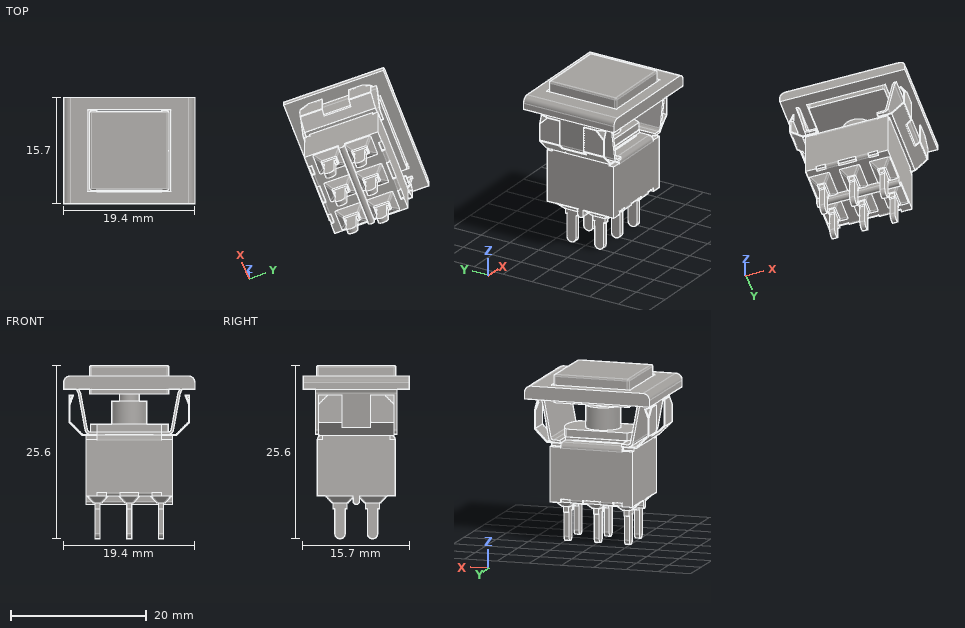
import cadquery as cq
import math


BEZEL_X, BEZEL_Y, BEZEL_T = 19.4, 15.7, 2.0
BEZEL_BOTTOM = 0.07
BEZEL_TOP = BEZEL_BOTTOM + BEZEL_T
BEZEL_ROUND = 1.0
OPENING_X, OPENING_Y = 12.2, 12.1

CAP_SIDE, CAP_TOP, CAP_BOTTOM = 11.7, 3.6, -0.62
CAP_ROUND = 0.25

PLUNGER_D = 2.95
BUSHING_D, BUSHING_TOP = 5.2, -1.66
DISC_D, DISC_TOP, DISC_FLATS = 11.5, -5.04, 6.5

BODY_X, BODY_Y = 12.8, 11.54
BODY_TOP, BODY_BOTTOM = -6.75, -15.65
FRAME_X, FRAME_TOP = 9.54, -6.65
FRAME_ROUND = 0.77
SHOULDER_DROP, SHOULDER_DEPTH = 0.54, 0.82
FOOT_RECESS_H, FOOT_RECESS_DEPTH = 0.52, 0.5
FOOT_TAB_INNER, FOOT_TAB_OUTER = 1.36, 3.33
FOOT_TAB_ROUND = 0.42

RIB_T, RIB_H = 0.96, 1.26

PIN_PITCH_X, PIN_PITCH_Y = 4.68, 4.8
PIN_T, PIN_W, PIN_SHOULDER_W = 0.77, 1.56, 2.1
PIN_SHOULDER_BOTTOM, PIN_BOTTOM = -17.54, -21.98
SEAL_X, SEAL_Y, SEAL_H, SEAL_CORNER = 3.15, 4.3, 1.0, 0.3
SEAL_TAPER = 43.0

SPRING_T, SPRING_Y = 0.17, 11.14
SPRING_TOP = BODY_TOP + SPRING_T
SPRING_BASE_X, SPRING_OUT_X = 6.94, 8.9
SPRING_KNEE_Z, SPRING_TIP_Z = -4.8, -0.77
SPRING_SLOT_Y, SPRING_SLOT_BOTTOM = 4.2, -5.52
SPRING_TONGUE_X, SPRING_TONGUE_FACE = 7.0, 3.6
FOLD_LEG, FOLD_IN = 1.35, 0.7

BRACKET_T, BRACKET_Y = 0.37, 12.06
BRACKET_NOTCH_FACE = 3.35
BRACKET_BEND_X = 6.1
BRACKET_BEND_R = 0.45
ARM_ANGLE = 10.5
FLARE_H, FLARE_OUT = 0.55, 0.27


def box(x0, x1, y0, y1, z0, z1):
    return cq.Workplane("XY").box(x1 - x0, y1 - y0, z1 - z0, centered=False).translate((x0, y0, z0))


def centered_box(size_x, size_y, z0, z1):
    return box(-size_x / 2, size_x / 2, -size_y / 2, size_y / 2, z0, z1)


def cylinder(diameter, z0, z1):
    return cq.Workplane("XY").workplane(offset=z0).circle(diameter / 2).extrude(z1 - z0)


def both_sides(shape, plane):
    return shape.union(shape.mirror(plane))


def make_bezel():
    plate = centered_box(BEZEL_X, BEZEL_Y, BEZEL_BOTTOM, BEZEL_TOP)
    plate = plate.edges("|Y and >Z").fillet(BEZEL_ROUND)
    return plate.cut(centered_box(OPENING_X, OPENING_Y, BEZEL_BOTTOM, BEZEL_TOP))


def make_cap():
    cap = centered_box(CAP_SIDE, CAP_SIDE, CAP_BOTTOM, CAP_TOP)
    return cap.edges("|Z or >Z").fillet(CAP_ROUND)


def make_stem():
    plunger = cylinder(PLUNGER_D, BUSHING_TOP, CAP_BOTTOM)
    bushing = cylinder(BUSHING_D, DISC_TOP, BUSHING_TOP)
    disc = cylinder(DISC_D, BODY_TOP, DISC_TOP)
    disc = disc.intersect(centered_box(DISC_D, DISC_FLATS, BODY_TOP, DISC_TOP))
    return plunger.union(bushing).union(disc)


def make_body():
    """Body ends with stepped shoulders, and the rounded frame with its foot tabs between them."""
    half_y, half_frame = BODY_Y / 2, FRAME_X / 2
    ends = centered_box(BODY_X, BODY_Y, BODY_BOTTOM, BODY_TOP)
    for side in (-1, 1):
        y = side * (half_y - SHOULDER_DEPTH / 2)
        shoulder = centered_box(BODY_X, SHOULDER_DEPTH, BODY_TOP - SHOULDER_DROP, BODY_TOP)
        ends = ends.cut(shoulder.translate((0, y, 0)))
    ends = ends.cut(centered_box(FRAME_X, BODY_Y, BODY_BOTTOM, BODY_TOP))
    frame = centered_box(FRAME_X, BODY_Y, BODY_BOTTOM, FRAME_TOP)
    frame = frame.edges("|X and >Z").fillet(FRAME_ROUND)
    frame = frame.edges("|X and <Z").fillet(FOOT_TAB_ROUND)
    recess_top = BODY_BOTTOM + FOOT_RECESS_H
    recess_spans = (
        (-half_frame, -FOOT_TAB_OUTER),
        (-FOOT_TAB_INNER, FOOT_TAB_INNER),
        (FOOT_TAB_OUTER, half_frame),
    )
    for x0, x1 in recess_spans:
        recess = box(x0, x1, -half_y, FOOT_RECESS_DEPTH - half_y, BODY_BOTTOM, recess_top)
        frame = frame.cut(both_sides(recess, "XZ"))
    return ends.union(frame)


def make_rib():
    rib_bottom = BODY_BOTTOM - RIB_H
    nose_z = rib_bottom + RIB_T / 2
    return (
        cq.Workplane("YZ")
        .moveTo(-RIB_T / 2, BODY_BOTTOM)
        .lineTo(-RIB_T / 2, nose_z)
        .threePointArc((0, rib_bottom), (RIB_T / 2, nose_z))
        .lineTo(RIB_T / 2, BODY_BOTTOM)
        .close().extrude(BODY_X / 2, both=True)
    )


def make_terminal():
    """Tapered seal, shouldered pin and rounded tip, centred on the Z axis."""
    seal_bottom = BODY_BOTTOM - SEAL_H
    seal = (
        cq.Workplane("XY").workplane(offset=BODY_BOTTOM)
        .rect(SEAL_X, SEAL_Y).extrude(-SEAL_H, taper=SEAL_TAPER)
        .edges("not #Z").fillet(SEAL_CORNER)
    )
    shoulder = centered_box(PIN_T, PIN_SHOULDER_W, PIN_SHOULDER_BOTTOM, seal_bottom)
    tip_z = PIN_BOTTOM + PIN_W / 2
    blade = (
        cq.Workplane("YZ")
        .moveTo(-PIN_W / 2, PIN_SHOULDER_BOTTOM)
        .lineTo(-PIN_W / 2, tip_z)
        .threePointArc((0, PIN_BOTTOM), (PIN_W / 2, tip_z))
        .lineTo(PIN_W / 2, PIN_SHOULDER_BOTTOM)
        .close().extrude(PIN_T / 2, both=True)
    )
    return seal.union(shoulder).union(blade)


def make_spring_fold():
    """Corner of the spring tip, bent inward about a diagonal line (+X, +Y corner)."""
    inner_x = SPRING_OUT_X - SPRING_T
    edge_y = SPRING_Y / 2
    corners = [
        cq.Vector(inner_x, edge_y - FOLD_LEG, SPRING_TIP_Z),
        cq.Vector(inner_x, edge_y, SPRING_TIP_Z - FOLD_LEG),
        cq.Vector(inner_x - FOLD_IN + SPRING_T, edge_y, SPRING_TIP_Z),
    ]
    outline = cq.Wire.makePolygon(corners, close=True)
    fold = cq.Solid.extrudeLinear(outline, [], cq.Vector(SPRING_T, 0, 0))
    return cq.Workplane("XY").newObject([fold])


def make_spring():
    """One leaf is bent on +X, slotted and given folded corners, then mirrored."""
    half_y = SPRING_Y / 2
    inner_x = SPRING_OUT_X - SPRING_T
    slope = math.atan2(SPRING_KNEE_Z - BODY_TOP, SPRING_OUT_X - SPRING_BASE_X)
    base_shift = SPRING_T * math.tan(slope / 2)
    knee_shift = SPRING_T * math.tan((math.pi / 2 - slope) / 2)
    profile = [
        (0, BODY_TOP),
        (SPRING_BASE_X, BODY_TOP),
        (SPRING_OUT_X, SPRING_KNEE_Z),
        (SPRING_OUT_X, SPRING_TIP_Z),
        (inner_x, SPRING_TIP_Z),
        (inner_x, SPRING_KNEE_Z + knee_shift),
        (SPRING_BASE_X - base_shift, SPRING_TOP),
        (0, SPRING_TOP),
    ]
    leaf = cq.Workplane("XZ").polyline(profile).close().extrude(half_y, both=True)
    slot = box(SPRING_BASE_X, SPRING_OUT_X, -SPRING_SLOT_Y / 2, SPRING_SLOT_Y / 2,
               SPRING_SLOT_BOTTOM, SPRING_TIP_Z)
    leaf = leaf.cut(slot)
    corner = (
        cq.Workplane("YZ", origin=(inner_x, 0, 0))
        .polyline([
            (half_y - FOLD_LEG, SPRING_TIP_Z),
            (half_y, SPRING_TIP_Z),
            (half_y, SPRING_TIP_Z - FOLD_LEG),
        ])
        .close().extrude(SPRING_T)
    )
    leaf = leaf.cut(both_sides(corner, "XZ"))
    leaf = leaf.union(both_sides(make_spring_fold(), "XZ"))
    notch = box(-FRAME_X / 2, FRAME_X / 2, BRACKET_NOTCH_FACE, half_y, BODY_TOP, SPRING_TOP)
    tongue = box(-SPRING_TONGUE_X / 2, SPRING_TONGUE_X / 2, BRACKET_NOTCH_FACE, SPRING_TONGUE_FACE,
                 BODY_TOP, SPRING_TOP)
    notch = notch.cut(tongue)
    return both_sides(leaf, "YZ").cut(both_sides(notch, "XZ"))


def make_bracket():
    """Base with a leaning, flared arm on each side and a notch front and back."""
    half_y = BRACKET_Y / 2
    base_z = SPRING_TOP
    angle = math.radians(ARM_ANGLE)
    lean = math.tan(angle)
    wall_x = BRACKET_T / math.cos(angle)
    inner_z = base_z + BRACKET_T
    inner_x = BRACKET_BEND_X
    arm_top = BEZEL_BOTTOM - FLARE_H
    arm_x = inner_x + lean * (arm_top - inner_z)
    outer_x = inner_x + wall_x + lean * (base_z - inner_z)
    profile = (
        cq.Workplane("XZ").moveTo(0, base_z)
        .lineTo(outer_x, base_z)
        .lineTo(arm_x + wall_x, arm_top)
        .lineTo(arm_x + wall_x + FLARE_OUT, BEZEL_BOTTOM)
        .lineTo(arm_x + FLARE_OUT, BEZEL_BOTTOM)
        .lineTo(arm_x, arm_top)
        .lineTo(inner_x, inner_z)
        .lineTo(0, inner_z)
        .close()
    )
    half = profile.extrude(half_y, both=True)
    outer_bend = cq.NearestToPointSelector((outer_x, 0, base_z))
    inner_bend = cq.NearestToPointSelector((inner_x, 0, inner_z))
    half = half.edges(outer_bend).fillet(BRACKET_BEND_R + BRACKET_T)
    half = half.edges(inner_bend).fillet(BRACKET_BEND_R)
    notch = box(-FRAME_X / 2, FRAME_X / 2, BRACKET_NOTCH_FACE, half_y, base_z, inner_z)
    return both_sides(half, "YZ").cut(both_sides(notch, "XZ"))


TERMINAL_COLUMNS = (-1, 0, 1)
TERMINAL_ROWS = (-0.5, 0.5)

result = make_bezel()
for piece in (make_cap(), make_stem(), make_body(), make_rib(), make_spring(), make_bracket()):
    result = result.union(piece)
terminal = make_terminal()
for column in TERMINAL_COLUMNS:
    for row in TERMINAL_ROWS:
        result = result.union(terminal.translate((column * PIN_PITCH_X, row * PIN_PITCH_Y, 0)))